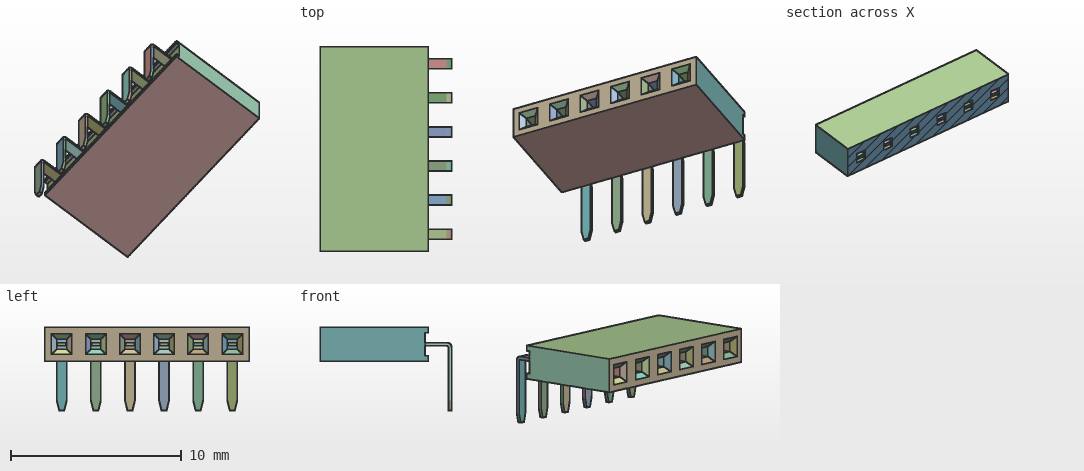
import cadquery as cq

contact_count = 6
pitch = 2.0

housing_length = 6.35
housing_width = contact_count * pitch
housing_height = 2.0
rear_recess_depth = 0.2
rear_lip_height = 0.33

funnel_mouth = 1.2
funnel_depth = 0.3
bore_size = 0.6
bore_depth = 3.0

strip_thickness = 0.2
strip_width = 0.6
bend_inner_radius = 0.1
overall_length = 7.72
overall_height = 4.9
nose_length = 0.5
nose_width = 0.5
tip_length = 0.6
tip_width = 0.3

socket_floor_x = funnel_depth + bore_depth
leg_bottom_z = housing_height / 2 - overall_height
bend_outer_radius = bend_inner_radius + strip_thickness
contact_ys = [(i - (contact_count - 1) / 2) * pitch for i in range(contact_count)]


def make_housing():
    """Rectangular block with a recess running along its whole rear face."""
    block = cq.Workplane("XY").box(
        housing_length, housing_width, housing_height, centered=(False, True, True)
    )
    recess = (
        cq.Workplane("XY")
        .box(
            rear_recess_depth,
            housing_width,
            housing_height - 2 * rear_lip_height,
            centered=(False, True, True),
        )
        .translate((housing_length - rear_recess_depth, 0, 0))
    )
    return block.cut(recess)


def make_socket(y):
    """Cutter for one socket: lofted funnel followed by the straight bore."""
    funnel = (
        cq.Workplane("YZ")
        .center(y, 0)
        .rect(funnel_mouth, funnel_mouth)
        .workplane(offset=funnel_depth)
        .rect(bore_size, bore_size)
        .loft(combine=True)
    )
    bore = (
        cq.Workplane("YZ", origin=(funnel_depth, y, 0))
        .rect(bore_size, bore_size)
        .extrude(bore_depth)
    )
    return funnel.union(bore)


def make_contact(y):
    """One bent strip: narrow nose standing in the bore, leg ending in a blunt tip."""
    top_z = strip_thickness / 2
    inner_leg_x = overall_length - strip_thickness
    strip = (
        cq.Workplane("XZ", origin=(0, y + strip_width / 2, 0))
        .moveTo(socket_floor_x, top_z)
        .lineTo(overall_length - bend_outer_radius, top_z)
        .radiusArc((overall_length, top_z - bend_outer_radius), bend_outer_radius)
        .lineTo(overall_length, leg_bottom_z)
        .lineTo(inner_leg_x, leg_bottom_z)
        .lineTo(inner_leg_x, -top_z - bend_inner_radius)
        .radiusArc((inner_leg_x - bend_inner_radius, -top_z), -bend_inner_radius)
        .lineTo(socket_floor_x, -top_z)
        .close()
        .extrude(strip_width)
    )
    for side in (-1, 1):
        corner = (
            cq.Workplane("YZ", origin=(inner_leg_x, y, leg_bottom_z))
            .moveTo(side * tip_width / 2, 0)
            .lineTo(side * strip_width / 2, 0)
            .lineTo(side * strip_width / 2, tip_length)
            .close()
            .extrude(strip_thickness)
        )
        strip = strip.cut(corner)
    nose = (
        cq.Workplane("YZ", origin=(socket_floor_x, y, 0))
        .rect(nose_width, strip_thickness)
        .extrude(-nose_length)
    )
    return strip.union(nose)


result = make_housing()
for contact_y in contact_ys:
    result = result.cut(make_socket(contact_y))
for contact_y in contact_ys:
    result = result.union(make_contact(contact_y))